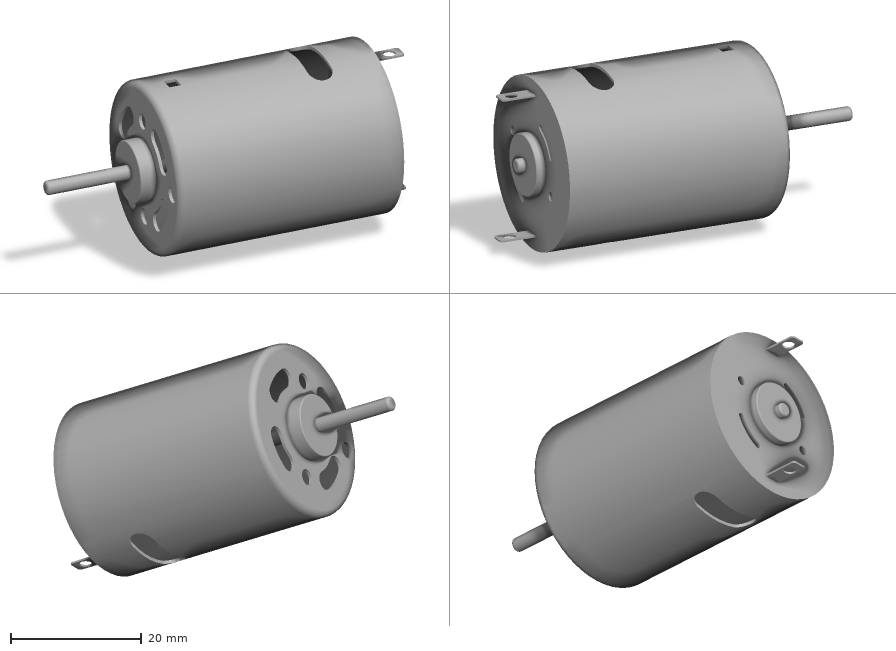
import cadquery as cq
import math

overall_length = 60.1

can_diameter = 27.7
can_bore_diameter = 26.7
can_length = 37.75
can_edge_radius = 1.0
sheet = (can_diameter - can_bore_diameter) / 2

boss_diameter = 10.0
boss_edge_radius = 0.2
front_boss_height = 2.6
rear_boss_height = 1.5

vent_length = 12.0
vent_width = 4.0
vent_to_rear = 9.9
window_width = 2.3
window_length = 2.0
window_to_front = 4.85

front_turn = 3.0
front_hole_diameter = 2.6
inner_hole_distance = 8.0
outer_hole_distance = 11.0
front_holes = ((outer_hole_distance, 0), (inner_hole_distance, 90), (inner_hole_distance, 270))
front_slot_distance = 8.55
front_slot_width = 3.0
front_slot_span = 31.0
front_slot_angles = (40, 140, 220, 320)

cap_thickness = 1.0
cap_inner_face = can_length - cap_thickness
cap_opening_distance = 7.6
cap_hole_diameter = 1.5
cap_hole_angles = (25, 205)
cap_slot_width = 1.0
cap_slot_span = 40.0
cap_slot_angles = (135, 315)

shaft_diameter = 2.3
shaft_front_reach = 16.45
shaft_rear_reach = 2.75
shaft_front_fillet = 0.5
shaft_rear_fillet = 0.35

terminal_width = 2.65
terminal_thickness = 0.3
terminal_offset = 11.5
terminal_corner_radius = 0.5
terminal_hole_diameter = 2.0
terminal_hole_to_tip = 2.1
terminal_reach_difference = 0.3
lower_terminal_reach = overall_length - shaft_front_reach - can_length
upper_terminal_reach = lower_terminal_reach - terminal_reach_difference


def cylinder(diameter, y_start, y_end):
    """Cylinder on the motor axis between two Y positions."""
    return cq.Workplane("XZ", origin=(0, y_start, 0)).circle(diameter / 2).extrude(y_start - y_end)


def boss(y_base, y_end):
    """Bearing boss on the motor axis with a rounded edge at y_end."""
    end_face = "<Y" if y_end < y_base else ">Y"
    return cylinder(boss_diameter, y_base, y_end).faces(end_face).edges().fillet(boss_edge_radius)


def polar(distance, angle):
    """Point (x, z) at an angle counted from +X towards +Z."""
    return distance * math.cos(math.radians(angle)), distance * math.sin(math.radians(angle))


def hole_cutter(diameter, distance, angle, y_start, y_end):
    """Round cutter parallel to the motor axis."""
    x, z = polar(distance, angle)
    return cylinder(diameter, y_start, y_end).translate((x, 0, z))


def arc_slot_cutter(width, distance, angle, span, y_start, y_end):
    """Cutter for a round-ended slot that follows a circle about the motor axis."""
    inner = distance - width / 2
    outer = distance + width / 2
    first = angle - span / 2
    last = angle + span / 2
    end_angle = math.degrees(width / 2 / distance)
    return (
        cq.Workplane("XZ", origin=(0, y_start, 0))
        .moveTo(*polar(inner, first))
        .threePointArc(polar(inner, angle), polar(inner, last))
        .threePointArc(polar(distance, last + end_angle), polar(outer, last))
        .threePointArc(polar(outer, angle), polar(outer, first))
        .threePointArc(polar(distance, first - end_angle), polar(inner, first))
        .close()
        .extrude(y_start - y_end)
    )


def can_shell():
    """Cup open to the rear, with a hollow boss that the shaft passes through."""
    boss_bore_diameter = boss_diameter - 2 * sheet
    shell = cylinder(can_diameter, 0, can_length).faces("<Y").edges().fillet(can_edge_radius)
    shell = shell.union(boss(sheet, -front_boss_height))
    shell = shell.cut(cylinder(can_bore_diameter, sheet, can_length))
    shell = shell.cut(cylinder(boss_bore_diameter, sheet - front_boss_height, sheet))
    return shell.cut(cylinder(shaft_diameter, -front_boss_height, sheet))


def side_vent_cutter():
    """Long slot through the top and bottom of the can."""
    plane = cq.Workplane("XY", origin=(0, can_length - vent_to_rear, 0))
    return plane.slot2D(vent_length, vent_width).extrude(can_diameter, both=True)


def window_cutter():
    """Small rectangular opening in the top of the can only."""
    plane = cq.Workplane("XY", origin=(0, window_to_front, 0))
    return plane.rect(window_width, window_length).extrude(can_diameter)


def make_can():
    can = can_shell().cut(side_vent_cutter()).cut(window_cutter())
    for distance, angle in front_holes:
        can = can.cut(hole_cutter(front_hole_diameter, distance, angle + front_turn, 0, sheet))
    for angle in front_slot_angles:
        slot_angle = angle + front_turn
        can = can.cut(
            arc_slot_cutter(front_slot_width, front_slot_distance, slot_angle, front_slot_span, 0, sheet)
        )
    return can


def make_terminal(z_middle, reach):
    """Flat blade that passes through the cap and ends in a drilled tip."""
    y_tip = can_length + reach
    blade_length = y_tip - cap_inner_face
    blade = (
        cq.Workplane("XY", origin=(0, y_tip - blade_length / 2, z_middle))
        .rect(terminal_width, blade_length)
        .extrude(terminal_thickness / 2, both=True)
        .faces(">Y")
        .edges("|Z")
        .fillet(terminal_corner_radius)
    )
    tip_hole = (
        cq.Workplane("XY", origin=(0, y_tip - terminal_hole_to_tip, z_middle))
        .circle(terminal_hole_diameter / 2)
        .extrude(terminal_thickness, both=True)
    )
    return blade.cut(tip_hole)


def make_cap(terminals):
    """Disc that closes the can, with a boss and openings for the shaft and the terminals."""
    boss_end = can_length + rear_boss_height
    cap = cylinder(can_bore_diameter, cap_inner_face, can_length)
    cap = cap.union(boss(cap_inner_face, boss_end))
    cap = cap.cut(cylinder(shaft_diameter, cap_inner_face, boss_end))
    for angle in cap_hole_angles:
        cap = cap.cut(
            hole_cutter(cap_hole_diameter, cap_opening_distance, angle, cap_inner_face, can_length)
        )
    for angle in cap_slot_angles:
        cap = cap.cut(
            arc_slot_cutter(
                cap_slot_width, cap_opening_distance, angle, cap_slot_span, cap_inner_face, can_length
            )
        )
    for terminal in terminals:
        cap = cap.cut(terminal)
    return cap


def make_shaft():
    shaft = cylinder(shaft_diameter, -shaft_front_reach, can_length + shaft_rear_reach)
    shaft = shaft.faces("<Y").edges().fillet(shaft_front_fillet)
    return shaft.faces(">Y").edges().fillet(shaft_rear_fillet)


can = make_can()
terminals = [
    make_terminal(z_middle, reach)
    for z_middle, reach in (
        (terminal_offset, upper_terminal_reach),
        (-terminal_offset, lower_terminal_reach),
    )
]
cap = make_cap(terminals)
shaft = make_shaft()

result = cq.Compound.makeCompound(
    [can.val(), cap.val(), shaft.val(), *[terminal.val() for terminal in terminals]]
)